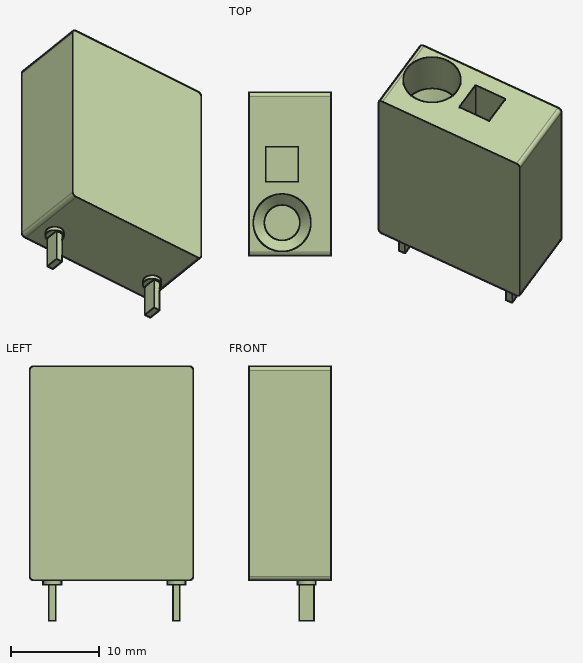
import cadquery as cq

housing_width = 9.3
housing_length = 18.5
total_height = 28.75
pin_reach = 4.57
housing_height = total_height - pin_reach
edge_radius = 0.5

opening_x = -0.9

entry_y = -5.5
entry_diameter = 6.5
entry_depth = 5.75
funnel_end_diameter = 4.0
funnel_depth = (entry_diameter - funnel_end_diameter) / 2

release_width = 3.65
release_length = 3.9
release_y = 1.1
release_depth = 5.75

pin_x = 1.87
pin_pitch = 14.0
pin_middle_y = -0.32
pin_width = 1.7
pin_thickness = 0.8
standoff_diameter = 2.1
standoff_height = 0.5
pin_length = pin_reach - standoff_height
pin_positions = [(pin_x, pin_middle_y + side * pin_pitch / 2) for side in (-1, 1)]


def make_block():
    """Block with its four edges along X rounded."""
    block = cq.Workplane("XY").box(
        housing_width, housing_length, housing_height, centered=(True, True, False)
    )
    return block.edges("|X").fillet(edge_radius)


def make_wire_entry():
    """Cutter for the round bore and the funnel at its bottom."""
    bore = (
        cq.Workplane("XY", origin=(opening_x, entry_y, housing_height))
        .circle(entry_diameter / 2)
        .extrude(-entry_depth)
    )
    funnel = cq.Workplane(
        cq.Solid.makeCone(
            entry_diameter / 2,
            funnel_end_diameter / 2,
            funnel_depth,
            pnt=cq.Vector(opening_x, entry_y, housing_height - entry_depth),
            dir=cq.Vector(0, 0, -1),
        )
    )
    return bore.union(funnel)


def make_release_opening():
    """Cutter for the rectangular opening."""
    return (
        cq.Workplane("XY", origin=(opening_x, release_y, housing_height))
        .rect(release_width, release_length)
        .extrude(-release_depth)
    )


def make_standoffs():
    """Round feet moulded on the underside of the housing."""
    return (
        cq.Workplane("XY")
        .pushPoints(pin_positions)
        .circle(standoff_diameter / 2)
        .extrude(-standoff_height)
    )


def make_housing():
    """Block with both top openings and its standoffs."""
    return make_block().cut(make_wire_entry()).cut(make_release_opening()).union(make_standoffs())


def make_pin(x, y):
    """Flat solder pin that starts at the face of its standoff."""
    return (
        cq.Workplane("XY", origin=(x, y, -standoff_height))
        .rect(pin_width, pin_thickness)
        .extrude(-pin_length)
    )


housing = make_housing()
pins = [make_pin(x, y) for x, y in pin_positions]

result = cq.Compound.makeCompound([housing.solids().val(), *[pin.val() for pin in pins]])